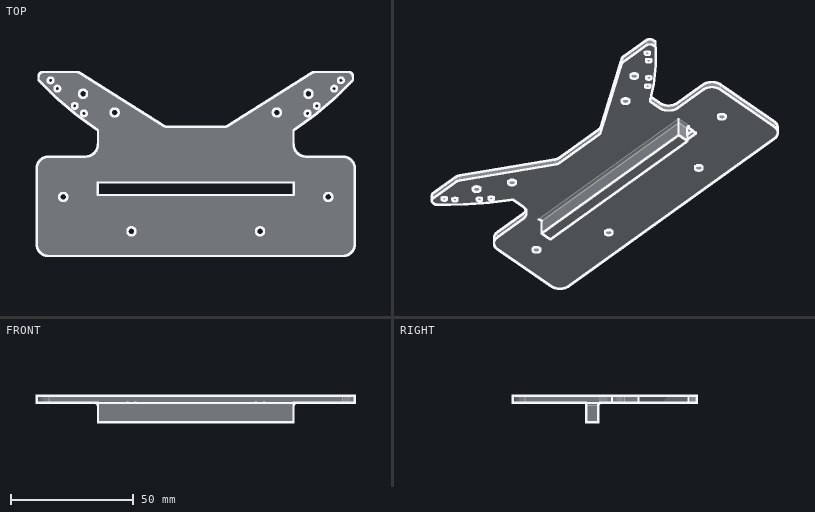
import cadquery as cq

plate_thickness = 3.0
plate_depth = 75.29

base_width = 130.0
base_depth = 40.7
base_corner_radius = 5.0

neck_width = 80.0
neck_corner_y = 51.4
neck_relief_radius = 5.0
crotch_half_width = 12.4
crotch_y = 52.85

arm_outer_x = 64.2
arm_inner_x = 48.0
arm_tip_radius = 2.0
arm_tip_flat_y = 71.9
arm_inner_edge_radius = 3.0
arm_curve_x = 53.4
arm_curve_y = 61.5

slot_width = neck_width
slot_depth = 5.0
slot_front_y = 25.03
rib_thickness = 5.0
rib_height = 8.0
rib_root_radius = 1.0

mount_hole_diameter = 3.2
mount_hole_places = [(54.1, 24.2), (26.25, 10.15), (33.1, 58.65), (46.0, 66.3)]
pin_hole_diameter = 2.2
pin_hole_places = [(59.25, 71.8), (56.5, 68.4), (49.4, 61.35), (45.65, 58.3)]

neck_x = neck_width / 2
slot_rear_y = slot_front_y + slot_depth
rib_rear_y = slot_rear_y + rib_thickness


def make_base():
    """Rounded rectangle across the front of the plate."""
    return (
        cq.Workplane("XY")
        .rect(base_width, base_depth)
        .extrude(plate_thickness)
        .edges("|Z")
        .fillet(base_corner_radius)
        .translate((0, base_depth / 2, 0))
    )


def make_half_arm():
    """Neck and arm on the +X side of the plane of symmetry."""
    mid_z = plate_thickness / 2
    tip_corner = cq.selectors.NearestToPointSelector((arm_inner_x, plate_depth, mid_z))
    crotch_corner = cq.selectors.NearestToPointSelector((crotch_half_width, crotch_y, mid_z))
    inner_corners = cq.selectors.SumSelector(tip_corner, crotch_corner)
    return (
        cq.Workplane("XY")
        .moveTo(0, slot_rear_y)
        .lineTo(neck_x, slot_rear_y)
        .lineTo(neck_x, neck_corner_y)
        .threePointArc((arm_curve_x, arm_curve_y), (arm_outer_x, arm_tip_flat_y))
        .lineTo(arm_outer_x, plate_depth - arm_tip_radius)
        .radiusArc((arm_outer_x - arm_tip_radius, plate_depth), -arm_tip_radius)
        .lineTo(arm_inner_x, plate_depth)
        .lineTo(crotch_half_width, crotch_y)
        .lineTo(0, crotch_y)
        .close()
        .extrude(plate_thickness)
        .edges(inner_corners)
        .fillet(arm_inner_edge_radius)
    )


def make_half_relief():
    """Concave fillet between the base and the neck on the +X side."""
    return (
        cq.Workplane("XY")
        .moveTo(neck_x, base_depth)
        .lineTo(neck_x + neck_relief_radius, base_depth)
        .radiusArc((neck_x, base_depth + neck_relief_radius), neck_relief_radius)
        .close()
        .extrude(plate_thickness)
    )


def make_plate():
    half = make_half_arm().union(make_half_relief())
    return make_base().union(half).union(half.mirror("YZ"))


def cut_slot(body):
    slot = (
        cq.Workplane("XY")
        .center(0, slot_front_y + slot_depth / 2)
        .rect(slot_width, slot_depth)
        .extrude(plate_thickness)
    )
    return body.cut(slot)


def add_rib(body):
    """Rib under the plate, flush with the slot's rear wall, filleted on its other three sides."""
    rib = (
        cq.Workplane("XY")
        .center(0, slot_rear_y + rib_thickness / 2)
        .rect(slot_width, rib_thickness)
        .extrude(-rib_height)
    )
    rib_mid_y = slot_rear_y + rib_thickness / 2
    half_width = slot_width / 2
    root_places = [
        (half_width, rib_mid_y, 0),
        (-half_width, rib_mid_y, 0),
        (0, rib_rear_y, 0),
    ]
    joined = body.union(rib)
    root_edges = [
        joined.edges(cq.selectors.NearestToPointSelector(place)).val()
        for place in root_places
    ]
    return joined.newObject(root_edges).fillet(rib_root_radius)


def cut_holes(body, places, diameter):
    both_sides = [(side * x, y) for x, y in places for side in (1, -1)]
    holes = (
        cq.Workplane("XY")
        .pushPoints(both_sides)
        .circle(diameter / 2)
        .extrude(plate_thickness)
    )
    return body.cut(holes)


result = add_rib(cut_slot(make_plate()))
result = cut_holes(result, mount_hole_places, mount_hole_diameter)
result = cut_holes(result, pin_hole_places, pin_hole_diameter)